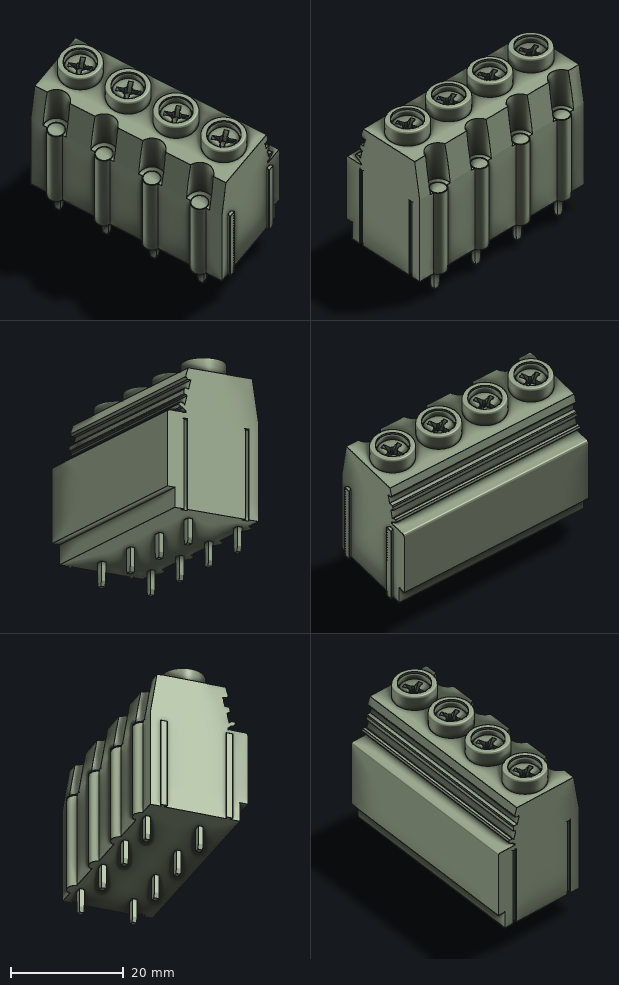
import cadquery as cq
import math


pole_count = 4
pitch = 10.16
body_length = pole_count * pitch
pole_x = [(index + 0.5) * pitch for index in range(pole_count)]

overall_length = 41.29
overall_depth = 19.99
overall_height = 34.0

column_radius = 1.75
column_y = 0.58
column_top_z = 18.25
column_recess_radius = 1.6
column_recess_depth = 0.15

pocket_radius = 2.5

body_height = 26.35
body_back_y = overall_depth - (column_radius - column_y)
front_slope_start_z = 18.38
front_slope_run = 1.3
shelf_z = 17.97
shelf_round = 0.47
foot_height = 3.73
foot_inset = 1.54

hook_root_y = 15.0
upper_tooth = [(14.53, body_height), (15.08, 24.62), (14.63, 24.22), (14.0, 24.16)]
middle_tooth = [(14.41, 22.5), (15.22, 22.5), (15.36, 22.25), (15.36, 21.4), (15.0, 21.32), (14.8, 21.07)]
lower_hook = [
    (15.22, 19.4),
    (15.57, 19.68),
    (16.2, 19.76),
    (16.5, 19.36),
    (16.06, 18.9),
    (15.66, 18.77),
    (hook_root_y, 18.24),
]

pin_length = 4.6
pin_width = 1.4
pin_tip_width = 1.0
pin_tip_length = 1.0
pin_thickness = 0.9
front_pin_y = 1.37
pin_row_spacing = 10.16
pin_rows_y = [front_pin_y, front_pin_y + pin_row_spacing]

collar_radius = 8.2 / 2
collar_y = 8.38
collar_top_z = overall_height - pin_length
collar_edge_round = 0.45
bore_radius = 6.1 / 2
bore_step_depth = 0.4
bore_lower_radius = 2.85
bore_step_round_depth = 0.6
screw_face_depth = 1.55

cross_reach = 2.2
cross_arm_width = 0.85
cross_depth = 1.6
cross_core_radius = 0.92
cross_core_bottom_radius = 0.85
cross_tip_depth = 0.4
cross_angle = 20.0

dovetail_height = 16.87
dovetail_neck_width = 0.74
dovetail_head_width = 1.25
dovetail_depth = overall_length - body_length
dovetail_flare_depth = 0.45
dovetail_y = [2.4, 15.02]


def housing():
    """Side profile with the toothed back edge, extruded along the row."""
    front_and_teeth = [
        (0, 0),
        (0, front_slope_start_z),
        (front_slope_run, body_height),
        *upper_tooth,
        *middle_tooth,
        *lower_hook,
        (hook_root_y, shelf_z),
    ]
    profile = (
        cq.Workplane("YZ")
        .polyline(front_and_teeth)
        .lineTo(body_back_y - shelf_round, shelf_z)
        .radiusArc((body_back_y, shelf_z - shelf_round), shelf_round)
        .lineTo(body_back_y, foot_height)
        .lineTo(body_back_y - foot_inset, foot_height)
        .lineTo(body_back_y - foot_inset, 0)
        .close()
    )
    return profile.extrude(body_length)


def cylinder(x, y, radius, bottom_z, top_z):
    """Vertical cylinder between two heights."""
    base = cq.Workplane("XY", origin=(x, y, bottom_z))
    return base.circle(radius).extrude(top_z - bottom_z)


def dovetail_prism(face_x, center_y):
    """Vertical dovetail growing in +X from the given end plane."""
    neck = dovetail_neck_width / 2
    head = dovetail_head_width / 2
    section = [
        (0, -neck),
        (dovetail_flare_depth, -head),
        (dovetail_depth, -head),
        (dovetail_depth, head),
        (dovetail_flare_depth, head),
        (0, neck),
    ]
    base = cq.Workplane("XY", origin=(face_x, center_y, 0))
    return base.polyline(section).close().extrude(dovetail_height)


def pin(x, y):
    """Flat solder pin whose tip narrows in width."""
    shoulder_z = pin_tip_length - pin_length
    outline = [
        (-pin_width / 2, 0),
        (-pin_width / 2, shoulder_z),
        (-pin_tip_width / 2, -pin_length),
        (pin_tip_width / 2, -pin_length),
        (pin_width / 2, shoulder_z),
        (pin_width / 2, 0),
    ]
    plane = cq.Workplane("XZ", origin=(x, y, 0))
    return plane.polyline(outline).close().extrude(pin_thickness / 2, both=True)


def collar(x):
    """Round collar with a rounded top edge."""
    blank = cylinder(x, collar_y, collar_radius, body_height, collar_top_z)
    return blank.faces(">Z").edges().fillet(collar_edge_round)


def collar_bore(x):
    """Stepped bore with a rounded shoulder, down to the screw face."""
    round_end_z = -bore_step_depth - bore_step_round_depth
    round_middle = (
        bore_lower_radius + (bore_radius - bore_lower_radius) * (1 - math.sqrt(0.5)),
        round_end_z + bore_step_round_depth * math.sqrt(0.5),
    )
    half_section = (
        cq.Workplane("XZ", origin=(x, collar_y, collar_top_z))
        .moveTo(0, 0)
        .lineTo(bore_radius, 0)
        .lineTo(bore_radius, -bore_step_depth)
        .threePointArc(round_middle, (bore_lower_radius, round_end_z))
        .lineTo(bore_lower_radius, -screw_face_depth)
        .lineTo(0, -screw_face_depth)
        .close()
    )
    return half_section.revolve(360, (0, 0), (0, 1))


def cross_recess(x):
    """Tapered four-armed driver recess with a conical bottom."""
    arm_outline = [
        (-cross_reach, 0),
        (-cross_core_bottom_radius, -cross_depth),
        (cross_core_bottom_radius, -cross_depth),
        (cross_reach, 0),
    ]
    arm = cq.Workplane("XZ").polyline(arm_outline).close().extrude(cross_arm_width / 2, both=True)
    core_outline = [
        (0, 0),
        (cross_core_radius, 0),
        (cross_core_bottom_radius, -cross_depth),
        (0, -cross_depth - cross_tip_depth),
    ]
    core = cq.Workplane("XZ").polyline(core_outline).close().revolve(360, (0, 0), (0, 1))
    recess = core
    for angle in (cross_angle, cross_angle + 90):
        recess = recess.union(arm.rotate((0, 0, 0), (0, 0, 1), angle))
    return recess.translate((x, collar_y, collar_top_z - screw_face_depth))


def add_pole(part, x):
    """Pocket, guide column, screw collar and pins of one pole."""
    part = part.cut(cylinder(x, column_y, pocket_radius, column_top_z, body_height))
    part = part.union(cylinder(x, column_y, column_radius, 0, column_top_z))
    recess_floor_z = column_top_z - column_recess_depth
    part = part.cut(cylinder(x, column_y, column_recess_radius, recess_floor_z, column_top_z))
    part = part.union(collar(x)).cut(collar_bore(x)).cut(cross_recess(x))
    for y in pin_rows_y:
        part = part.union(pin(x, y))
    return part


result = housing()
for y in dovetail_y:
    result = result.cut(dovetail_prism(0, y))
    result = result.union(dovetail_prism(body_length, y))
for x in pole_x:
    result = add_pole(result, x)